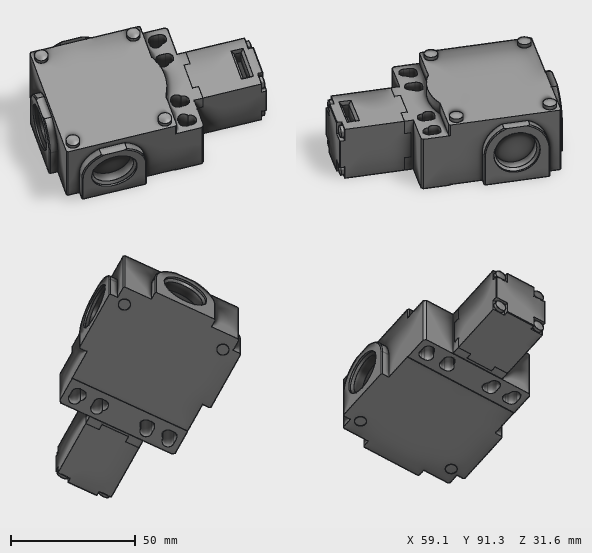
import cadquery as cq
import math

BASE_Z = 0.3
DECK_Z = 24.2
COVER_Z = 29.4
FRONT_Y = 3.6
COVER_BACK_Y = 49.7
FLANGE_BACK_Y = 61.0
SEAM_Y = 62.1
NECK_CORNER_Y = 64.6
HEAD_END_Y = 91.3

BODY_WIDTH = 51.9
EDGE_CHAMFER = 0.55
FLANGE_CHAMFER = 0.9
BULGE_HALF_WIDTH = 10.1
BULGE_RISE = 2.6

BOSS_DEPTH = FRONT_Y
BOSS_RADIUS = 13.5
BOSS_CHAMFER = 0.5
BOSS_TOP_Z = 26.5
BORE_Z = 14.1
SIDE_BORE_Y = 22.5
BORE_MOUTH_DIAMETER = 19.0
BORE_DIAMETER = 17.0
BORE_MOUTH_DEPTH = 0.8
BORE_DEPTH = 5.8

SLOT_DIAMETER = 4.8
SLOT_FRONT_Y = 54.3
SLOT_TRAVEL_Y = 2.4
SLOT_TRAVEL_X = 1.3
SLOT_OFFSETS = (21.0, 11.05)

COVER_SCREW_DIAMETER = 5.5
COVER_SCREW_RIM = 1.6
COVER_SCREW_X = 22.1
COVER_SCREW_YS = (7.3, 45.7)
HEAD_SCREW_DIAMETER = 4.8
HEAD_SCREW_RIM = 1.4
SCREW_DOME = 0.55
FOOT_DIAMETER = 4.8
FOOT_Y = 10.5

HEAD_WIDTH = 23.9
HEAD_MID_Z = (BASE_Z + DECK_Z) / 2
HEAD_HEIGHT = DECK_Z - BASE_Z
NECK_CORNER = 6.0
END_CORNER = 5.5
END_CORNER_DEPTH = 2.1
END_CHAMFER = 0.3
KEY_LENGTH = 12.8
KEY_WIDTH = 2.8
KEY_FLARE_X = 0.8
KEY_FLARE_Y = 1.1
KEY_FLARE_DEPTH = 1.5
KEY_DEPTH = 7.3
KEY_Y = 84.6


def block(width, y_start, y_end, z_start, z_end):
    """Box centred on X = 0 between two Y stations and two Z levels."""
    size = (width, y_end - y_start, z_end - z_start)
    return cq.Workplane("XY").box(*size, centered=(True, False, False)).translate((0, y_start, z_start))


def corner_blocks(size, y_start, y_end):
    """Four square blocks that fill the corners of the head section."""
    blocks = cq.Workplane("XY")
    for x_side in (-1, 1):
        for z_side in (-1, 1):
            x = x_side * (HEAD_WIDTH - size) / 2
            z = z_side * (HEAD_HEIGHT - size) / 2
            corner = block(size, y_start, y_end, -size / 2, size / 2)
            blocks = blocks.add(corner.translate((x, 0, HEAD_MID_Z + z)))
    return blocks.combine()


def screw_head(diameter, rim):
    """Domed screw head standing on Z = 0."""
    radius = diameter / 2
    dome_radius = (radius**2 + SCREW_DOME**2) / (2 * SCREW_DOME)
    mid_x = radius / 2
    mid_z = rim + SCREW_DOME - dome_radius + math.sqrt(dome_radius**2 - mid_x**2)
    return (
        cq.Workplane("XZ")
        .lineTo(radius, 0)
        .lineTo(radius, rim)
        .threePointArc((mid_x, mid_z), (0, rim + SCREW_DOME))
        .close()
        .revolve(360, (0, 0), (0, 1))
    )



def housing_shell():
    """Lower block with its flange, plus the raised cover with a curved back."""
    cover = block(BODY_WIDTH, FRONT_Y, COVER_BACK_Y, BASE_Z, COVER_Z).edges("|Z").chamfer(EDGE_CHAMFER)
    flange = block(BODY_WIDTH, COVER_BACK_Y - EDGE_CHAMFER, FLANGE_BACK_Y, 0, DECK_Z)
    flange = flange.edges("|Z and >Y").chamfer(FLANGE_CHAMFER)
    bulge = (
        cq.Workplane("XY", origin=(0, COVER_BACK_Y, BASE_Z))
        .moveTo(-BULGE_HALF_WIDTH, -EDGE_CHAMFER)
        .lineTo(-BULGE_HALF_WIDTH, 0)
        .threePointArc((0, BULGE_RISE), (BULGE_HALF_WIDTH, 0))
        .lineTo(BULGE_HALF_WIDTH, -EDGE_CHAMFER)
        .close()
        .extrude(COVER_Z - BASE_Z)
    )
    neck = block(HEAD_WIDTH, FLANGE_BACK_Y, SEAM_Y, BASE_Z, DECK_Z)
    return cover.union(flange).union(bulge).union(neck).union(
        corner_blocks(NECK_CORNER, SEAM_Y, NECK_CORNER_Y)
    )


def entry_boss():
    """Arched boss whose back lies on Y = 0, facing -Y."""
    arch = (
        cq.Workplane("XZ")
        .moveTo(-BOSS_RADIUS, BASE_Z)
        .lineTo(-BOSS_RADIUS, BORE_Z)
        .threePointArc((0, BORE_Z + BOSS_RADIUS), (BOSS_RADIUS, BORE_Z))
        .lineTo(BOSS_RADIUS, BASE_Z)
        .close()
        .extrude(BOSS_DEPTH)
    )
    arch = arch.faces("<Y").edges("not <Z").chamfer(BOSS_CHAMFER)
    return arch.intersect(block(2 * BOSS_RADIUS, -BOSS_DEPTH, 0, BASE_Z, BOSS_TOP_Z))


def entry_bore():
    """Blind bore with a wider mouth that narrows through a 45 degree cone."""
    mouth_radius = BORE_MOUTH_DIAMETER / 2
    radius = BORE_DIAMETER / 2
    cone_end = BORE_MOUTH_DEPTH + mouth_radius - radius
    return (
        cq.Workplane("XY")
        .lineTo(mouth_radius, 0)
        .lineTo(mouth_radius, BORE_MOUTH_DEPTH)
        .lineTo(radius, cone_end)
        .lineTo(radius, BORE_DEPTH)
        .lineTo(0, BORE_DEPTH)
        .close()
        .revolve(360, (0, 0), (0, 1))
        .translate((0, -BOSS_DEPTH, BORE_Z))
    )


def at_entry_places(shape):
    """Copies of a front-facing shape on the front, left and right walls."""
    side = BODY_WIDTH / 2
    front = shape.translate((0, FRONT_Y, 0))
    left = shape.rotate((0, 0, 0), (0, 0, 1), -90).translate((-side, SIDE_BORE_Y, 0))
    right = shape.rotate((0, 0, 0), (0, 0, 1), 90).translate((side, SIDE_BORE_Y, 0))
    return front, left, right


def mounting_slot(offset):
    """L-shaped slot in the right half of the flange; its foot points towards the middle."""
    long_leg = (
        cq.Workplane("XY")
        .center(offset, SLOT_FRONT_Y + SLOT_TRAVEL_Y / 2)
        .slot2D(SLOT_TRAVEL_Y + SLOT_DIAMETER, SLOT_DIAMETER, 90)
        .extrude(DECK_Z)
    )
    short_leg = (
        cq.Workplane("XY")
        .center(offset - SLOT_TRAVEL_X / 2, SLOT_FRONT_Y)
        .slot2D(SLOT_TRAVEL_X + SLOT_DIAMETER, SLOT_DIAMETER)
        .extrude(DECK_Z)
    )
    return long_leg.union(short_leg)


def make_housing():
    housing = housing_shell()
    for boss in at_entry_places(entry_boss()):
        housing = housing.union(boss)
    for bore in at_entry_places(entry_bore()):
        housing = housing.cut(bore)
    for offset in SLOT_OFFSETS:
        slot = mounting_slot(offset)
        housing = housing.cut(slot).cut(slot.mirror("YZ"))
    screw = screw_head(COVER_SCREW_DIAMETER, COVER_SCREW_RIM)
    foot = cq.Workplane("XY").circle(FOOT_DIAMETER / 2).extrude(BASE_Z)
    for x in (-COVER_SCREW_X, COVER_SCREW_X):
        for y in COVER_SCREW_YS:
            housing = housing.union(screw.translate((x, y, COVER_Z)))
        housing = housing.union(foot.translate((x, FOOT_Y, 0)))
    return housing



def key_slot():
    """Blind slot from the top of the head, flared at its mouth."""
    flare = (
        cq.Workplane("XY")
        .rect(KEY_LENGTH + 2 * KEY_FLARE_X, KEY_WIDTH + 2 * KEY_FLARE_Y)
        .workplane(offset=-KEY_FLARE_DEPTH)
        .rect(KEY_LENGTH, KEY_WIDTH)
        .loft(ruled=True)
    )
    shaft = cq.Workplane("XY").rect(KEY_LENGTH, KEY_WIDTH).extrude(-KEY_DEPTH)
    return flare.union(shaft).translate((0, KEY_Y, DECK_Z))


def make_head():
    recess_y = HEAD_END_Y - END_CORNER_DEPTH
    head = block(HEAD_WIDTH, SEAM_Y, HEAD_END_Y, BASE_Z, DECK_Z)
    head = head.faces(">Y").edges().chamfer(END_CHAMFER)
    head = head.cut(corner_blocks(NECK_CORNER, SEAM_Y, NECK_CORNER_Y))
    head = head.cut(corner_blocks(END_CORNER, recess_y, HEAD_END_Y))
    head = head.cut(key_slot())
    screw = screw_head(HEAD_SCREW_DIAMETER, HEAD_SCREW_RIM).rotate((0, 0, 0), (1, 0, 0), -90)
    for x_side in (-1, 1):
        for z_side in (-1, 1):
            x = x_side * (HEAD_WIDTH - END_CORNER) / 2
            z = HEAD_MID_Z + z_side * (HEAD_HEIGHT - END_CORNER) / 2
            head = head.union(screw.translate((x, recess_y, z)))
    return head


housing = make_housing()
head = make_head()
result = cq.Compound.makeCompound([housing.val(), head.val()])